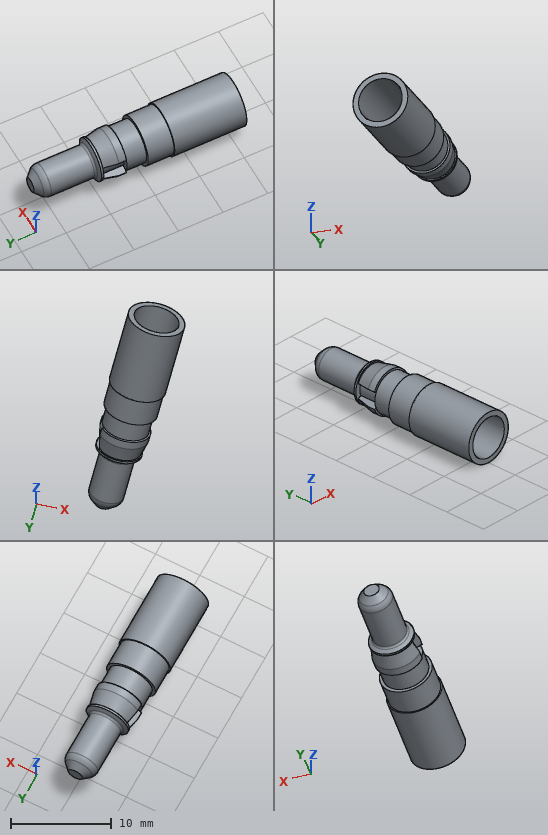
import cadquery as cq
import math

length = 22.8

pin_diameter = 3.6
tip_diameter = 1.6
collar_diameter = 4.75
neck_diameter = 4.8
body_diameter = 5.5
crimp_diameter = 5.8
bore_diameter = 4.6

collar_front = length - 6.75
collar_back = length - 7.0
neck_front = length - 9.6
body_front = length - 11.8
crimp_front = length - 14.7

nose_angle = 45.0
nose_radius = 1.0

collar_angle = 60.0
collar_fillet = 0.3

bore_depth = crimp_front
drill_point_angle = 118.0

ring_clearance = 0.05
ring_front_diameter = 4.5
ring_diameter = 5.2
ring_band = 0.85
ring_gap_angle = 45.0


def revolve_about_y(profile):
    return profile.close().revolve(360, (0, 0, 0), (0, 1, 0))


def blend_points(start_y, radius, angle, direction):
    """Middle and end of an arc that is tangent to the pin surface at start_y.

    direction is +1 for an arc that bends out toward the collar, -1 for one that bends in toward the tip.
    """
    points = []
    for turn in (angle / 2, angle):
        turn = math.radians(turn)
        rise = radius * (1 - math.cos(turn))
        points.append((pin_diameter / 2 + direction * rise, start_y - direction * radius * math.sin(turn)))
    return points


def make_contact():
    pin_radius = pin_diameter / 2
    nose_turn = math.radians(nose_angle)
    nose_drop = nose_radius * (1 - math.cos(nose_turn))
    nose_cone = (pin_radius - nose_drop - tip_diameter / 2) / math.tan(nose_turn)
    nose_start = length - nose_cone - nose_radius * math.sin(nose_turn)

    collar_turn = math.radians(collar_angle)
    collar_rise = collar_fillet * (1 - math.cos(collar_turn))
    collar_cone = (collar_diameter / 2 - pin_radius - collar_rise) / math.tan(collar_turn)
    blend_start = collar_front + collar_cone + collar_fillet * math.sin(collar_turn)

    nose_middle, nose_end = blend_points(nose_start, nose_radius, nose_angle, -1)
    blend_middle, blend_end = blend_points(blend_start, collar_fillet, collar_angle, 1)

    return revolve_about_y(
        cq.Workplane("XY")
        .moveTo(0, 0)
        .lineTo(crimp_diameter / 2, 0)
        .lineTo(crimp_diameter / 2, crimp_front)
        .lineTo(body_diameter / 2, crimp_front)
        .lineTo(body_diameter / 2, body_front)
        .lineTo(neck_diameter / 2, body_front)
        .lineTo(neck_diameter / 2, neck_front)
        .lineTo(pin_radius, neck_front)
        .lineTo(pin_radius, collar_back)
        .lineTo(collar_diameter / 2, collar_back)
        .lineTo(collar_diameter / 2, collar_front)
        .lineTo(*blend_end)
        .threePointArc(blend_middle, (pin_radius, blend_start))
        .lineTo(pin_radius, nose_start)
        .threePointArc(nose_middle, nose_end)
        .lineTo(tip_diameter / 2, length)
        .lineTo(0, length)
    )


def make_bore():
    bore_radius = bore_diameter / 2
    point_depth = bore_radius / math.tan(math.radians(drill_point_angle / 2))
    return revolve_about_y(
        cq.Workplane("XY")
        .lineTo(bore_radius, 0)
        .lineTo(bore_radius, bore_depth)
        .lineTo(0, bore_depth + point_depth)
    )


def make_snap_ring():
    """Barbed ring that leaves an opening with radial walls on the -X side."""
    ring_front = collar_back - ring_clearance
    ring_back = neck_front + ring_clearance
    half_gap = ring_gap_angle / 2
    ring = (
        cq.Workplane("XY")
        .moveTo(pin_diameter / 2, ring_back)
        .lineTo(ring_diameter / 2, ring_back)
        .lineTo(ring_diameter / 2, ring_back + ring_band)
        .lineTo(ring_front_diameter / 2, ring_front)
        .lineTo(pin_diameter / 2, ring_front)
        .close()
        .revolve(360 - ring_gap_angle, (0, 0, 0), (0, 1, 0))
    )
    return ring.rotate((0, 0, 0), (0, 1, 0), 180 + half_gap)


result = make_contact().cut(make_bore()).union(make_snap_ring())